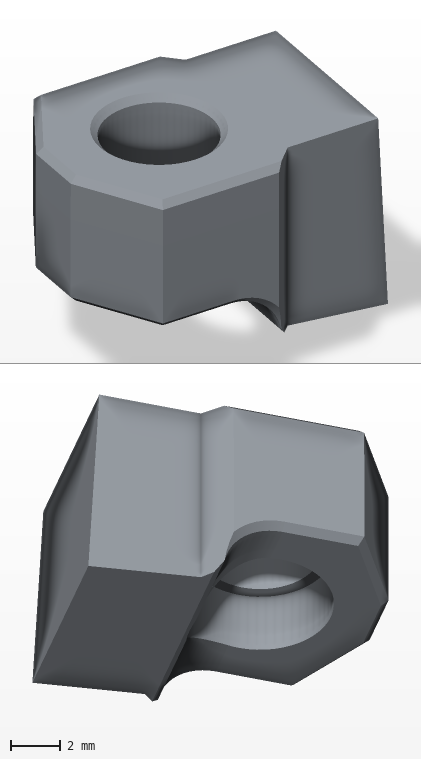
import cadquery as cq
import math


head_side_count = 12
head_apothem = 5.04
head_top_apothem = 5.025
head_height = 6.0
draft_start_depth = 2.0
edge_chamfer = 0.3

neck_half_width = 3.97
shoulder_sum = 7.66
total_length = 13.5
total_height = 9.0
back_tilt = 2.95
bottom_tilt = 6.0

underside_radius = 2.5
underside_arc_y = 0.46
toe_top_depth = 8.03
toe_bevel = 45.0
toe_tilt = bottom_tilt + toe_bevel

hole_radius = 2.5
counterbore_radius = 3.0
hole_land_depth = 3.25

back_y = total_length - head_apothem
side_overshoot = 1.0


def plan_outline(apothem):
    """Corners of the plan for a given head size, counter-clockwise."""
    front_x = apothem * math.tan(math.pi / head_side_count)
    side_y = -apothem * math.tan(2 * math.pi / head_side_count)
    right_side = [
        (front_x, -apothem),
        (apothem, side_y),
        (apothem, shoulder_sum - apothem),
        (neck_half_width, shoulder_sum - neck_half_width),
        (neck_half_width, back_y),
    ]
    left_side = [(-x, y) for x, y in reversed(right_side)]
    return right_side + left_side


def plan_band(bottom_z, bottom_apothem, top_z, top_apothem):
    """Solid band of the plan between two heights, with straight flanks."""
    return (
        cq.Workplane("XY", origin=(0, 0, bottom_z))
        .polyline(plan_outline(bottom_apothem)).close()
        .workplane(offset=top_z - bottom_z)
        .polyline(plan_outline(top_apothem)).close()
        .loft(ruled=True)
    )


def side_profile():
    """Side silhouette, extruded across the full width."""
    back_top_y = back_y - total_height * math.tan(math.radians(back_tilt))
    arc_center_z = -head_height - underside_radius

    toe_top_z = -toe_top_depth
    toe_top_y = underside_arc_y + math.sqrt(underside_radius**2 - (toe_top_z - arc_center_z) ** 2)

    bottom_slope = math.tan(math.radians(bottom_tilt))
    toe_slope = math.tan(math.radians(toe_tilt))
    bottom_z_below_toe = -total_height + bottom_slope * (back_y - toe_top_y)
    toe_length = (toe_top_z - bottom_z_below_toe) / (toe_slope - bottom_slope)
    toe_bottom = (toe_top_y + toe_length, toe_top_z - toe_slope * toe_length)

    half_sweep = math.atan2(toe_top_y - underside_arc_y, toe_top_z - arc_center_z) / 2
    arc_middle = (
        underside_arc_y + underside_radius * math.sin(half_sweep),
        arc_center_z + underside_radius * math.cos(half_sweep),
    )
    return (
        cq.Workplane("YZ")
        .moveTo(-head_apothem, 0)
        .lineTo(-head_apothem, -head_height)
        .lineTo(underside_arc_y, -head_height)
        .threePointArc(arc_middle, (toe_top_y, toe_top_z))
        .lineTo(*toe_bottom)
        .lineTo(back_y, -total_height)
        .lineTo(back_top_y, 0)
        .close()
        .extrude(head_apothem + side_overshoot, both=True)
    )


def chamfer_underside(body):
    """Bevel the rim of the flat underside and the sides of its arc."""
    margin = 0.01
    rim_box = cq.selectors.BoxSelector(
        (-head_apothem - margin, -head_apothem - margin, -toe_top_depth),
        (head_apothem + margin, shoulder_sum - head_apothem + margin, -head_height + margin),
        boundingbox=True,
    )
    crosswise_seam = cq.selectors.BoxSelector(
        (-margin, underside_arc_y - margin, -head_height - margin),
        (margin, underside_arc_y + margin, -head_height + margin),
    )
    return body.edges(rim_box - crosswise_seam).chamfer(edge_chamfer)


def hole_cutter():
    """Through hole with a beveled top rim and a counterbore from below."""
    rim_radius = hole_radius + edge_chamfer
    profile = (
        cq.Workplane("XZ")
        .polyline([
            (0, 0),
            (rim_radius, 0),
            (hole_radius, -edge_chamfer),
            (hole_radius, -hole_land_depth),
            (counterbore_radius, -hole_land_depth),
            (counterbore_radius, -total_height),
            (0, -total_height),
        ])
        .close()
    )
    return profile.revolve(360, (0, 0, 0), (0, 1, 0))


lower_band = plan_band(-total_height, head_apothem, -draft_start_depth, head_apothem)
draft_band = plan_band(-draft_start_depth, head_apothem, -edge_chamfer, head_top_apothem)
top_bevel = plan_band(-edge_chamfer, head_top_apothem, 0, head_top_apothem - edge_chamfer)

lower_body = chamfer_underside(lower_band.intersect(side_profile()))
upper_body = draft_band.union(top_bevel).intersect(side_profile())

result = lower_body.union(upper_body).cut(hole_cutter())